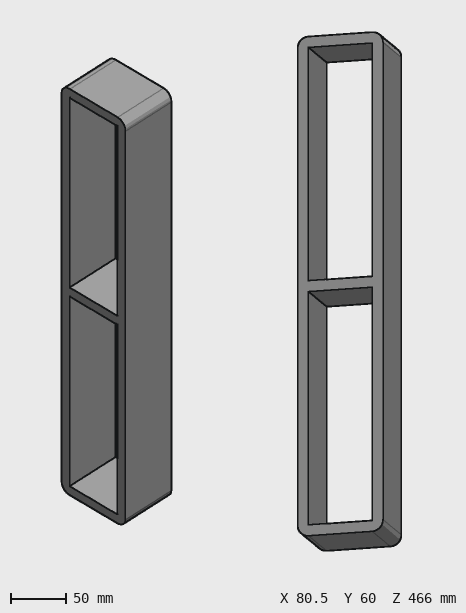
import cadquery as cq

width = 80.5
depth = 60.0
height = 466.0

wall = 10.3
corner_radius = 10.3

opening_width = width - 2 * wall
opening_height = (height - 3 * wall) / 2
opening_offset = (opening_height + wall) / 2

body = cq.Workplane("XY").box(width, depth, height).edges("|Y").fillet(corner_radius)

openings = (
    cq.Workplane("XY")
    .pushPoints([(0, 0, -opening_offset), (0, 0, opening_offset)])
    .box(opening_width, depth, opening_height)
)

result = body.cut(openings)